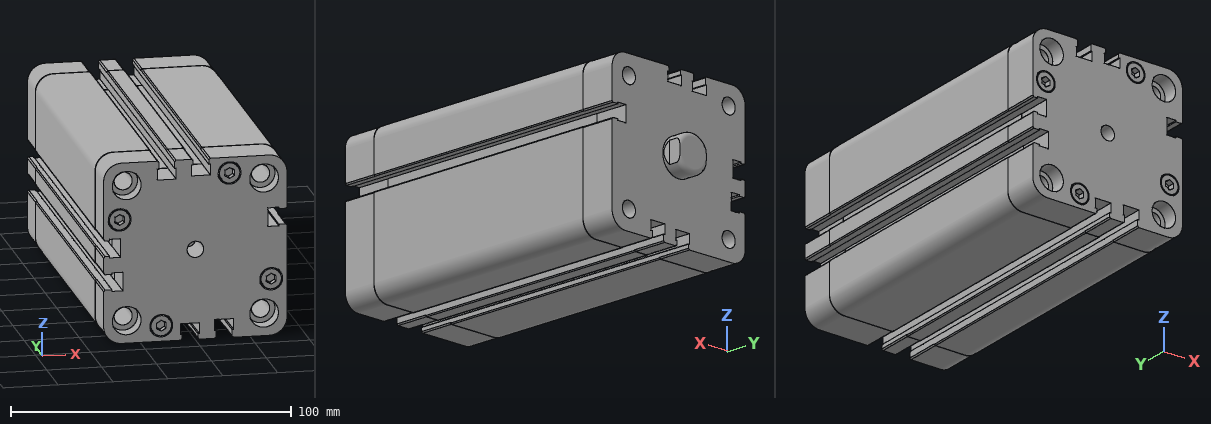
import cadquery as cq

tube_side = 67.0
cap_inset = 0.1
corner_radius = 6.6
overall_length = 143.0
rod_stick_out = 7.5
housing_length = overall_length - rod_stick_out
cap_length = 14.7

slot_width = 6.9
slot_mouth = 5.7
slot_height = 3.9
deep_lip = 3.1
shallow_lip = 2.3
deep_offset = -10.5
slot_pitch = 12.5
shallow_offset = deep_offset + slot_pitch
slot_bevel = 0.5

mount_spacing = 50.0
mount_diameter = 6.6
mount_bore_diameter = 10.5
mount_bore_depth = 6.3

screw_along = 12.5
screw_out = 27.6
screw_head_diameter = 7.5
screw_recess_diameter = 8.3
screw_recess_depth = 4.3
socket_corners = 4.0
socket_depth = 2.9

centre_diameter = 6.0
centre_depth = 14.3

rod_diameter = 16.0
rod_end_radius = 2.0
flat_distance = 13.2
flat_length = 5.5


def front_plane(y):
    """Sketch plane at depth y: local x is X, local y is Z, the normal is -Y."""
    return cq.Workplane("XZ", origin=(0, y, 0))


def slot_cutter(offset, lip, inset, start, length):
    """T-slot with bevelled mouth edges, cut into the top (+Z) face."""
    face_z = tube_side / 2 - inset
    lip_z = tube_side / 2 - lip
    floor_z = lip_z - slot_height - inset
    half_mouth = slot_mouth / 2
    bevel = slot_bevel + inset
    half_width = slot_width / 2
    half_outline = [
        (half_mouth + bevel, face_z),
        (half_mouth, face_z - bevel),
        (half_mouth, lip_z),
        (half_width, lip_z),
        (half_width, floor_z),
    ]
    right = [(offset + x, z) for x, z in half_outline]
    left = [(offset - x, z) for x, z in reversed(half_outline)]
    return front_plane(start).polyline(right + left).close().extrude(-length)


def cut_slots(body, inset, start, length):
    """Two slots on the top, left and bottom faces, only the deep one on the right face."""
    for turn in range(4):
        slots = [(deep_offset, deep_lip)]
        if turn < 3:
            slots.append((shallow_offset, shallow_lip))
        for offset, lip in slots:
            cutter = slot_cutter(offset, lip, inset, start, length)
            body = body.cut(cutter.rotate((0, 0, 0), (0, 1, 0), -90 * turn))
    return body


def housing_section(inset, start, length):
    """Length of the slotted profile, its outer faces and slot floors set back by inset."""
    section_side = tube_side - 2 * inset
    block = front_plane(start).rect(section_side, section_side)
    block = block.extrude(-length).edges("|Y").fillet(corner_radius)
    return cut_slots(block, inset, start, length)


def rod():
    """Round rod with a rounded end and two wrench flats that run out at 45 degrees."""
    radius = rod_diameter / 2
    flat_x = flat_distance / 2
    rod_start = housing_length - cap_length
    shaft = front_plane(rod_start).circle(radius).extrude(rod_start - overall_length)
    shaft = shaft.faces(">Y").edges().fillet(rod_end_radius)
    flat_start = overall_length - flat_length
    run_out = radius - flat_x
    flat_outline = [
        (flat_x, overall_length),
        (flat_x, flat_start),
        (radius, flat_start - run_out),
        (radius, overall_length),
    ]
    flat = cq.Workplane("XY").polyline(flat_outline).close().extrude(radius, both=True)
    return shaft.cut(flat).cut(flat.mirror("YZ"))


tube_length = housing_length - 2 * cap_length
tube_end = cap_length + tube_length
result = (
    housing_section(cap_inset, 0, cap_length)
    .union(housing_section(0, cap_length, tube_length))
    .union(housing_section(cap_inset, tube_end, cap_length))
)

mounts = front_plane(0).rect(mount_spacing, mount_spacing, forConstruction=True).vertices()
result = result.cut(mounts.circle(mount_diameter / 2).extrude(-housing_length))
result = result.cut(mounts.circle(mount_bore_diameter / 2).extrude(-mount_bore_depth))

screw_points = [
    (screw_along, screw_out),
    (-screw_out, screw_along),
    (-screw_along, -screw_out),
    (screw_out, -screw_along),
]
screws = front_plane(0).pushPoints(screw_points)
ring = (
    screws.circle(screw_recess_diameter / 2).extrude(-screw_recess_depth)
    .cut(screws.circle(screw_head_diameter / 2).extrude(-screw_recess_depth))
)
result = result.cut(ring)
for x, z in screw_points:
    socket = front_plane(0).polygon(6, socket_corners).extrude(-socket_depth)
    result = result.cut(socket.rotate((0, 0, 0), (0, 1, 0), 90).translate((x, 0, z)))

result = result.cut(front_plane(0).circle(centre_diameter / 2).extrude(-centre_depth))

result = result.union(rod())